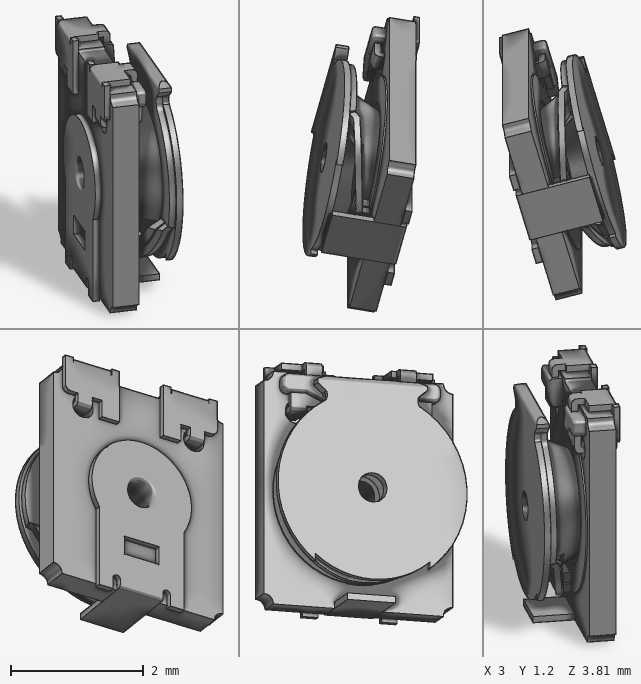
import cadquery as cq
import math


FAR = 5.0
sheet = 0.10

sub_width = 3.0
sub_top = 1.85
sub_bottom = -1.75
sub_depth = 0.41
corner_notch_radius = 0.15
recess_half_width = 0.39
recess_depth = 0.05
recess_corner_radius = 0.045
clip_hole_radius = 0.18
clip_hole_x = 0.98
clip_hole_z = 1.25

disc_radius = 0.88
strip_half_width = 0.75
strip_bottom = -1.81
bore_radius = 0.225
bore_rounding = 0.055
eyelet_radius = 0.30
window_width = 0.61
window_top = -0.84
window_bottom = -1.15
relief_inner = 0.38
relief_width = 0.125
relief_top = -1.556
tab_end = 1.05
tab_rounding = 0.05

clip_sheet = 0.09
clip_top = 2.0
plate_outer = -1.345
plate_inner = -0.388
plate_bottom = 1.405
plate_corner_radius = 0.10
leg_outer = -0.697
leg_bottom = 1.123
bridge_outer = -1.20
bridge_inner = -0.54
bridge_depth = 0.357
bridge_relief = 0.018
neck_outer = -0.876
neck_inner = -0.62
hook_outer = -1.12
hook_inner = -0.866
hook_bottom = 1.213
back_leg_widening = 1.45
clip_back = 0.56
clip_bend_radius = 0.08

film_thickness = 0.025
film_outer = 1.36
film_inner = 0.95
film_gap_half_width = 0.36
film_end_outer = 0.75
film_end_top = 1.50

pad_back = 0.605
pad_outer = -1.25
pad_top = 1.797
pad_outer_bottom = 1.51
pad_inner_bottom = 1.39
pad_inner_at_top = -0.558
pad_inner = -0.457
pad_corner_radius = 0.10
pad_edge_radius = 0.05

rotor_back = 1.10
back_disc_front = rotor_back - sheet
front_disc_front = back_disc_front - sheet
back_disc_radius = 1.50
front_disc_radius = 1.45
step_radius = 1.42
step_half_width = 0.91
hem_top = 1.69
hem_radius = sheet
hem_tip_top = 1.625
hem_half_width = 0.87
hem_top_half_width = 0.73
hem_tip_bottom = 1.56
hem_neck_half_width = 0.735
hem_neck_z = 1.44
hem_waist_half_width = 0.72
hem_waist_z = 1.36
hem_shoulder_angle = math.radians(57)
cup_floor_radius = 0.84
cup_wall_start = 0.47
cup_wall_radius = 0.868
cup_mouth_radius = 1.09
cup_mid_depth = 0.66
cup_mid_radius = 0.952
cup_cut_z = -0.515
emboss_height = 0.065
emboss_radius = 0.80
emboss_front_radius = 0.65
bend_start = -1.331
bend_drop = math.sqrt(2) * sheet
finger_center_z = 0.076
finger_bands = [(1.142, 1.296), (1.324, front_disc_radius)]
finger_low = 0.55
finger_flat_half_width = 0.22
finger_shoulder_x = 1.10
finger_shoulder_front = 0.76
finger_end_x = 1.40
finger_end_front = 0.85
contact_half_width = 0.20


def box(x0, x1, y0, y1, z0, z1):
    """Box given by its limits along each axis."""
    return cq.Workplane("XY").box(x1 - x0, y1 - y0, z1 - z0, centered=False).translate((x0, y0, z0))


def plane_xz(y):
    """Workplane with local axes X and Z at depth y; a negative extrusion length goes toward +Y."""
    return cq.Workplane("XZ", origin=(0, y, 0))


def disc(radius, y0, y1, x=0.0, z=0.0):
    """Round plate with its axis along Y."""
    return plane_xz(y0).center(x, z).circle(radius).extrude(y0 - y1)


def ring(inner, outer, y0, y1):
    """Flat ring around the rotor axis."""
    return disc(outer, y0, y1).cut(disc(inner, y0, y1))


def revolve_about_rotor(profile):
    """Revolve a closed profile, drawn with local axes X (radius) and Y, about the Y axis."""
    return profile.revolve(360, (0, 0, 0), (0, 1, 0))


def mirrored(body):
    """Mirror image on the other side of X = 0."""
    return body.mirror("YZ")


def make_substrate():
    half = sub_width / 2
    body = box(-half, half, 0, sub_depth, sub_bottom, sub_top)
    for x in (-half, half):
        for z in (sub_bottom, sub_top):
            body = body.cut(disc(corner_notch_radius, 0, sub_depth, x, z))
    recess = (
        box(-recess_half_width, recess_half_width, 0, sub_depth, sub_top - recess_depth, sub_top)
        .edges("|Y and <Z")
        .fillet(recess_corner_radius)
    )
    tab_slot = box(-relief_inner, relief_inner, 0, sub_depth, sub_bottom, sub_bottom + sheet)
    body = body.cut(recess).cut(tab_slot).cut(disc(eyelet_radius, 0, sub_depth))
    for x in (-clip_hole_x, clip_hole_x):
        body = body.cut(disc(clip_hole_radius, 0, sub_depth, x, clip_hole_z))
    return body


def make_centre_terminal():
    strip = box(-strip_half_width, strip_half_width, -sheet, 0, strip_bottom, 0)
    plate = disc(disc_radius, -sheet, 0).union(strip)
    plate = plate.cut(box(-window_width / 2, window_width / 2, -sheet, 0, window_bottom, window_top))
    plate = plate.cut(box(-relief_inner, relief_inner, -sheet, 0, strip_bottom, sub_bottom))
    slot_radius = relief_width / 2
    for side in (-1, 1):
        slot_x = side * (relief_inner + slot_radius)
        slot_z = relief_top - slot_radius
        slot = box(slot_x - slot_radius, slot_x + slot_radius, -sheet, 0, strip_bottom, slot_z)
        plate = plate.cut(slot).cut(disc(slot_radius, -sheet, 0, slot_x, slot_z))
    tab = box(-relief_inner, relief_inner, -sheet, tab_end, sub_bottom, sub_bottom + sheet)
    plate = plate.union(tab)
    bend = cq.selectors.NearestToPointSelector((0, -sheet, sub_bottom))
    plate = plate.edges(bend).fillet(tab_rounding)
    eyelet_end = sub_depth + sheet
    plate = plate.union(disc(eyelet_radius, -sheet, eyelet_end))
    plate = plate.cut(disc(bore_radius, -sheet, eyelet_end))
    rim = cq.selectors.NearestToPointSelector((0, -sheet, 0))
    return plate.edges(rim).fillet(bore_rounding)


def make_clip():
    """Clip terminal on the -X side: a closed band around the substrate with a front plate."""
    plate = box(plate_outer, plate_inner, -clip_sheet, 0, plate_bottom, clip_top)
    plate = plate.edges("|Y and <X and <Z").fillet(plate_corner_radius)
    plate = plate.union(box(leg_outer, plate_inner, -clip_sheet, 0, leg_bottom, plate_bottom))
    relief_end = bridge_inner + bridge_relief
    plate = plate.cut(box(bridge_outer, relief_end, -clip_sheet, 0, clip_top - sheet, clip_top))

    loop = box(bridge_outer, bridge_inner, -clip_sheet, clip_back, hook_bottom, clip_top)
    loop = loop.edges("|X").fillet(clip_bend_radius)
    loop = loop.cut(box(-FAR, FAR, 0, clip_back - sheet, hook_bottom + sheet, clip_top - sheet))

    bridge = box(bridge_outer, bridge_inner, -clip_sheet, bridge_depth, plate_bottom, clip_top)
    neck = box(neck_outer, neck_inner, bridge_depth, clip_back, back_leg_widening, clip_top)
    back_leg = box(
        hook_outer, neck_inner, clip_back - sheet, clip_back, hook_bottom + sheet, back_leg_widening + sheet
    )
    hook = box(hook_outer, hook_inner, -clip_sheet, clip_back, hook_bottom, plate_bottom)
    outline = bridge.union(neck).union(back_leg).union(hook)
    return plate.union(loop.intersect(outline))


def make_film():
    """Horseshoe of resistor film with two straight ends reaching up under the solder pads."""
    back = sub_depth + film_thickness
    film = disc(film_outer, sub_depth, back)
    film = film.union(box(-film_end_outer, film_end_outer, sub_depth, back, 0, film_end_top))
    film = film.cut(disc(film_inner, sub_depth, back))
    return film.cut(box(-film_gap_half_width, film_gap_half_width, sub_depth, back, 0, film_end_top))


def make_pad():
    """Solder pad on the -X side, flowing around the back leg of its clip."""
    pad = (
        plane_xz(sub_depth)
        .moveTo(pad_outer, pad_top)
        .lineTo(pad_inner_at_top, pad_top)
        .lineTo(pad_inner, pad_inner_bottom)
        .lineTo(neck_inner, pad_inner_bottom)
        .lineTo(neck_outer, pad_outer_bottom)
        .lineTo(pad_outer, pad_outer_bottom)
        .close()
        .extrude(sub_depth - pad_back)
    )
    pad = pad.edges("|Y and <X").fillet(pad_corner_radius)
    return pad.faces(">Y").edges().fillet(pad_edge_radius)


def make_rotor_layer(radius, y0, y1):
    """One disc layer of the wiper with the flared neck that carries the hem."""
    shoulder_x = radius * math.cos(hem_shoulder_angle)
    shoulder_z = radius * math.sin(hem_shoulder_angle)
    neck = (
        plane_xz(y0)
        .moveTo(0, hem_top)
        .lineTo(hem_top_half_width, hem_top)
        .lineTo(hem_half_width, hem_tip_top)
        .lineTo(hem_half_width, hem_tip_bottom)
        .lineTo(hem_neck_half_width, hem_neck_z)
        .threePointArc((hem_waist_half_width, hem_waist_z), (shoulder_x, shoulder_z))
        .lineTo(0, shoulder_z)
        .close()
        .extrude(y0 - y1)
    )
    neck = neck.union(mirrored(neck))
    return disc(radius, y0, y1).union(neck)


def make_cup():
    """Drawn cup whose floor rests on the substrate and whose mouth joins the front disc."""
    shell = revolve_about_rotor(
        cq.Workplane("XY")
        .moveTo(eyelet_radius, sub_depth)
        .lineTo(cup_floor_radius, sub_depth)
        .lineTo(cup_wall_radius, cup_wall_start)
        .threePointArc((cup_mid_radius, cup_mid_depth), (cup_mouth_radius, front_disc_front))
        .lineTo(cup_mouth_radius, back_disc_front)
        .lineTo(cup_mouth_radius - sheet, back_disc_front)
        .lineTo(cup_mouth_radius - sheet, front_disc_front)
        .threePointArc(
            (cup_mid_radius - sheet, cup_mid_depth), (cup_wall_radius - sheet, sub_depth + sheet)
        )
        .lineTo(eyelet_radius, sub_depth + sheet)
        .close()
    )
    return shell.cut(box(-FAR, FAR, cup_mid_depth, back_disc_front, -FAR, cup_cut_z))


def below_bend():
    """Everything under the 45 degree plane along which the front disc bends into the fingers."""
    profile = cq.Workplane("YZ", origin=(-FAR, 0, 0)).polyline([
        (0, bend_start),
        (FAR, FAR + bend_start),
        (FAR, -FAR),
        (0, -FAR),
    ])
    return profile.close().extrude(2 * FAR)


def make_fingers():
    """Two nested spring fingers bridging the lower half, each with a contact on the film."""
    film_back = sub_depth + film_thickness
    bands = [ring(inner, outer, film_back, back_disc_front) for inner, outer in finger_bands]
    bands = bands[0].union(bands[1]).translate((0, 0, finger_center_z))

    sag_half = [
        (finger_flat_half_width, finger_low),
        (finger_shoulder_x, finger_shoulder_front),
        (finger_end_x, finger_end_front),
    ]
    sag_front = [(-x, y) for x, y in reversed(sag_half)] + sag_half
    sag_back = [(x, y + sheet) for x, y in reversed(sag_front)]
    disc_back = [(finger_end_x, back_disc_front), (-finger_end_x, back_disc_front)]
    low_plane = cq.Workplane("XY", origin=(0, 0, -back_disc_radius))
    sag = low_plane.polyline(sag_front + sag_back).close().extrude(back_disc_radius)
    behind_sag = low_plane.polyline(sag_front + disc_back).close().extrude(back_disc_radius)

    root = below_bend().cut(below_bend().translate((0, 0, -bend_drop)))
    arms = sag.intersect(below_bend()).union(root.intersect(behind_sag))
    contacts = box(
        -contact_half_width, contact_half_width, film_back, finger_low, -back_disc_radius, cup_cut_z
    )
    return arms.union(contacts).intersect(bands)


def make_wiper():
    hem_axis_z = hem_top - hem_radius
    hem_envelope = box(-FAR, FAR, front_disc_front, rotor_back, -FAR, hem_axis_z)
    hem_circle = cq.Workplane("YZ", origin=(-FAR, back_disc_front, hem_axis_z)).circle(hem_radius)
    hem_envelope = hem_envelope.union(hem_circle.extrude(2 * FAR))

    back = make_rotor_layer(back_disc_radius, back_disc_front, rotor_back)
    rim = ring(step_radius, back_disc_radius, back_disc_front, rotor_back)
    back = back.cut(
        rim.intersect(box(-step_half_width, step_half_width, back_disc_front, rotor_back, -FAR, 0))
    )
    emboss = revolve_about_rotor(
        cq.Workplane("XY").polyline([
            (0, back_disc_front),
            (emboss_radius, back_disc_front),
            (emboss_front_radius, back_disc_front - emboss_height),
            (0, back_disc_front - emboss_height),
        ]).close()
    )
    front = make_rotor_layer(front_disc_radius, front_disc_front, back_disc_front)
    bend_cut = (
        cq.Workplane("YZ", origin=(-FAR, 0, 0))
        .moveTo(front_disc_front, front_disc_front + bend_start)
        .lineTo(back_disc_front, back_disc_front + bend_start - bend_drop)
        .lineTo(back_disc_front, -FAR)
        .lineTo(front_disc_front, -FAR)
        .close()
        .extrude(2 * FAR)
    )
    front = front.cut(bend_cut)
    front = front.cut(disc(cup_mouth_radius - sheet, front_disc_front, back_disc_front))

    layers = back.union(front).intersect(hem_envelope)
    wiper = layers.union(emboss).union(make_cup()).union(make_fingers())
    return wiper.cut(disc(bore_radius, back_disc_front - emboss_height, rotor_back))


substrate = make_substrate()
centre_terminal = make_centre_terminal()
film = make_film()
wiper = make_wiper()
left_clip = make_clip()
left_pad = make_pad().cut(left_clip).cut(film)
clips = [left_clip, mirrored(left_clip)]
pads = [left_pad, mirrored(left_pad)]

bodies = [substrate, centre_terminal, film, wiper, *clips, *pads]
result = cq.Compound.makeCompound([body.solids().val() for body in bodies])